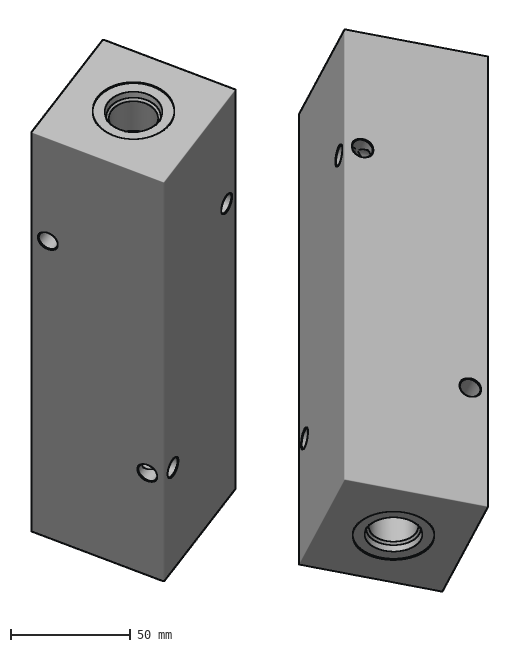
import cadquery as cq

side = 63.5
length = 235.0
edge_break = 0.35

spotface_diameter = 34.3
spotface_depth = 0.7
seat_diameter = 24.2
seat_bottom_diameter = 22.8
seat_depth = 2.8
thread_diameter = 20.7
thread_depth = 21.1
bore_diameter = 18.8

cross_hole_diameter = 9.0
cross_hole_offset = 23.7
cross_hole_height = 57.0


def make_port():
    """Revolved cutter for the top port: spotface, conical seat, lead-in, thread core."""
    top = length / 2
    spotface_floor = top - spotface_depth
    seat_bottom = spotface_floor - seat_depth
    lead_in_bottom = seat_bottom - (seat_bottom_diameter - thread_diameter) / 2
    thread_bottom = spotface_floor - thread_depth
    return (
        cq.Workplane("XZ")
        .moveTo(0, top)
        .lineTo(spotface_diameter / 2, top)
        .lineTo(spotface_diameter / 2, spotface_floor)
        .lineTo(seat_diameter / 2, spotface_floor)
        .lineTo(seat_bottom_diameter / 2, seat_bottom)
        .lineTo(thread_diameter / 2, lead_in_bottom)
        .lineTo(thread_diameter / 2, thread_bottom)
        .lineTo(0, thread_bottom)
        .close()
        .revolve(360, (0, 0), (0, 1))
    )


def make_cross_hole(plane, across, height):
    """Round cutter through the block, along the normal of an upright plane, flared at both mouths."""
    half = side / 2
    mouth_diameter = cross_hole_diameter + 2 * edge_break
    hole = cq.Workplane(plane).center(across, height).circle(cross_hole_diameter / 2).extrude(half, both=True)
    for direction in (1, -1):
        mouth = (
            cq.Workplane(plane)
            .workplane(offset=direction * half)
            .center(across, height)
            .circle(mouth_diameter / 2)
            .workplane(offset=-direction * edge_break)
            .circle(cross_hole_diameter / 2)
            .loft()
        )
        hole = hole.union(mouth)
    return hole


block = cq.Workplane("XY").box(side, side, length).edges().fillet(edge_break)

bore = cq.Workplane("XY").circle(bore_diameter / 2).extrude(length / 2, both=True)
top_port = make_port()
bottom_port = top_port.mirror("XY")
result = block.cut(bore).cut(top_port).cut(bottom_port)

for sign in (1, -1):
    offset = sign * cross_hole_offset
    height = sign * cross_hole_height
    result = result.cut(make_cross_hole("XZ", -offset, height))
    result = result.cut(make_cross_hole("YZ", offset, height))